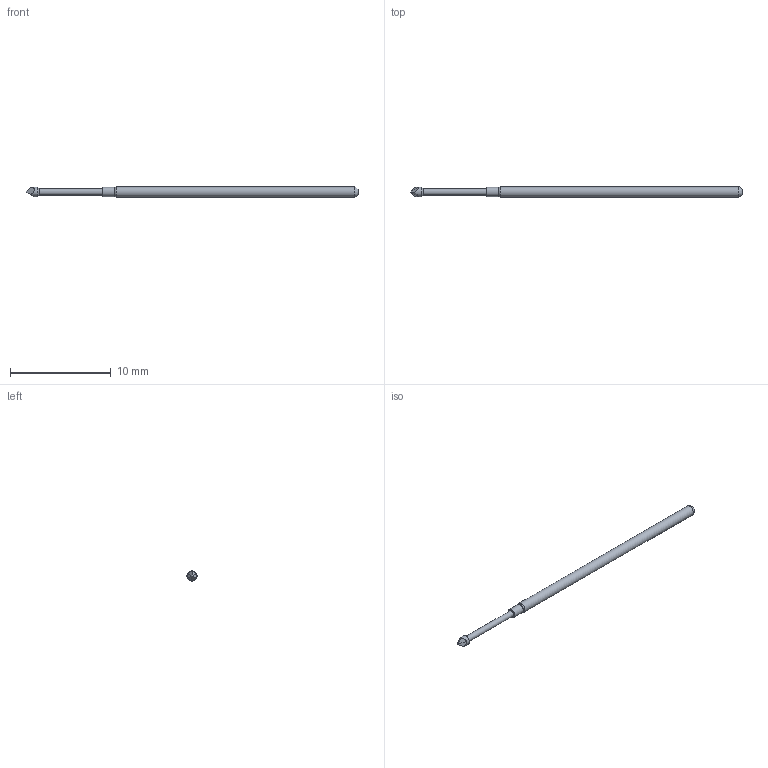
import cadquery as cq
import math

total_length = 33.02
head_length = 1.17
head_taper_length = 0.15
collar_start = 7.6
collar_length = 1.2
shoulder_length = 0.17
end_round_length = 0.35

head_diameter = 0.96
rod_diameter = 0.6
collar_diameter = 0.91
body_diameter = 1.02
end_flat_diameter = 0.46

side_count = 3
facet_angle = 30.46
facet_turn = 5.8
point_turn = 28.2

head_radius = head_diameter / 2
rod_radius = rod_diameter / 2
collar_radius = collar_diameter / 2
body_radius = body_diameter / 2
end_flat_radius = end_flat_diameter / 2
collar_end = collar_start + collar_length
body_start = collar_end + shoulder_length


def make_pin():
    """Head, rod, collar and round-ended body turned about X; the head is still blunt."""
    return (
        cq.Workplane("XY")
        .moveTo(0, 0)
        .lineTo(0, head_radius)
        .lineTo(head_length, head_radius)
        .lineTo(head_length + head_taper_length, rod_radius)
        .lineTo(collar_start, rod_radius)
        .lineTo(collar_start, collar_radius)
        .lineTo(collar_end, collar_radius)
        .lineTo(body_start, body_radius)
        .lineTo(total_length - end_round_length, body_radius)
        .tangentArcPoint((total_length, end_flat_radius), relative=False)
        .lineTo(total_length, 0)
        .close()
        .revolve(360, (0, 0, 0), (1, 0, 0))
    )


def make_facet_cutter(turn):
    """Wedge of waste outside one facet, turned about X from -Y toward +Z."""
    depth = head_diameter
    run = depth / math.tan(math.radians(facet_angle))
    wedge = (
        cq.Workplane("XY")
        .polyline([(0, 0), (run, -depth), (0, -depth)])
        .close()
        .extrude(head_diameter, both=True)
    )
    return wedge.rotate((0, 0, 0), (1, 0, 0), -turn)


def cut_point(pin):
    """Sharpen the head with a mirrored pair of facets on each side."""
    for side in range(side_count):
        side_middle = point_turn + side * 360 / side_count
        for turn in (side_middle - facet_turn, side_middle + facet_turn):
            pin = pin.cut(make_facet_cutter(turn))
    return pin


result = cut_point(make_pin())